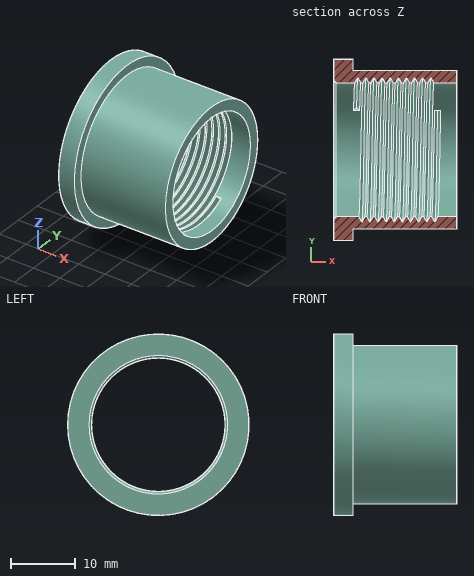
import cadquery as cq
import math

LENGTH = 19.0
FLANGE_DIAMETER = 28.0
FLANGE_THICKNESS = 3.0
BODY_DIAMETER = 24.5
BORE_DIAMETER = 20.55
BORE_CHAMFER = 0.4

THREAD_PITCH = 1.25
THREAD_TURNS = 10
THREAD_START = 3.54
THREAD_START_ANGLE = -54.0
CREST_WIDTH = 0.31
GROOVE_WIDTH = THREAD_PITCH - CREST_WIDTH
GROOVE_ANGLE = 60.0
CUT_OVERLAP = 0.1


def make_cylinder(diameter, length):
    """Solid cylinder on the X axis, starting at X = 0."""
    return cq.Workplane("YZ").circle(diameter / 2).extrude(length)


def make_bushing():
    """Flanged sleeve with a chamfered bore mouth at the flange."""
    sleeve = make_cylinder(BODY_DIAMETER, LENGTH)
    sleeve = sleeve.union(make_cylinder(FLANGE_DIAMETER, FLANGE_THICKNESS))
    sleeve = sleeve.cut(make_cylinder(BORE_DIAMETER, LENGTH))
    bore_mouth = sleeve.faces("<X").edges("%CIRCLE").edges(cq.selectors.RadiusNthSelector(0))
    return bore_mouth.chamfer(BORE_CHAMFER)


def make_thread_cutter():
    """V-section coil swept along a helix, placed on the X axis."""
    bore_radius = BORE_DIAMETER / 2
    flank_slope = math.tan(math.radians(GROOVE_ANGLE / 2))
    root_radius = bore_radius + GROOVE_WIDTH / 2 / flank_slope
    inner_radius = bore_radius - CUT_OVERLAP
    inner_half_width = (root_radius - inner_radius) * flank_slope

    helix = cq.Wire.makeHelix(THREAD_PITCH, THREAD_PITCH * THREAD_TURNS, bore_radius)
    coil = (
        cq.Workplane("XZ")
        .moveTo(inner_radius, -inner_half_width)
        .lineTo(root_radius, 0)
        .lineTo(inner_radius, inner_half_width)
        .close()
        .sweep(cq.Workplane(obj=helix), isFrenet=True)
    )
    coil_angle = -90
    coil = coil.rotate((0, 0, 0), (0, 1, 0), 90)
    coil = coil.rotate((0, 0, 0), (1, 0, 0), THREAD_START_ANGLE - coil_angle)
    return coil.translate((THREAD_START, 0, 0))


result = make_bushing().cut(make_thread_cutter())